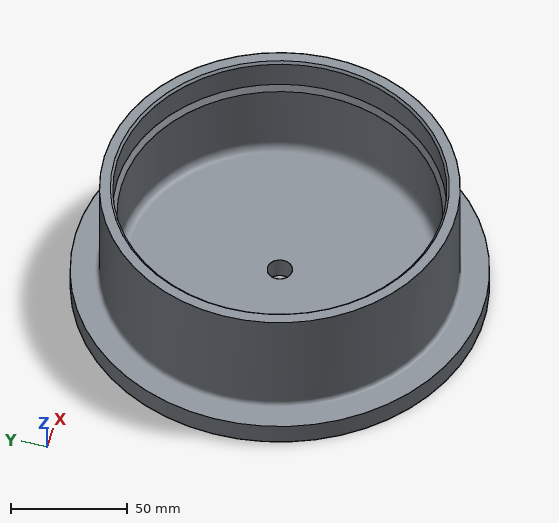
import cadquery as cq

flange_diameter = 180.0
total_height = 63.0
flange_thickness = 10.0

wall_diameter = 154.8
bore_diameter = 139.7
floor_thickness = 10.0
outer_fillet = 2.0
inner_fillet = 4.0

seat_diameter = 143.3
seat_depth = 14.0
shoulder_height = 2.7
rim_chamfer = 1.0

center_hole_diameter = 10.8

flange_radius = flange_diameter / 2
wall_radius = wall_diameter / 2
bore_radius = bore_diameter / 2
seat_radius = seat_diameter / 2
shoulder_top = total_height - seat_depth
shoulder_bottom = shoulder_top - shoulder_height


def make_body():
    """Flange and cylindrical wall, blended where they meet."""
    flange = cq.Workplane("XY").circle(flange_radius).extrude(flange_thickness)
    body = flange.union(cq.Workplane("XY").circle(wall_radius).extrude(total_height))
    root_edge = cq.selectors.RadiusNthSelector(0)
    return body.faces("<Z[-2]").edges(root_edge).fillet(outer_fillet)


def make_cavity():
    """Revolved stepped cavity with a rounded floor corner and a chamfered mouth."""
    profile = (
        cq.Workplane("XZ")
        .moveTo(0, floor_thickness)
        .lineTo(bore_radius - inner_fillet, floor_thickness)
        .radiusArc((bore_radius, floor_thickness + inner_fillet), -inner_fillet)
        .lineTo(bore_radius, shoulder_bottom)
        .lineTo(seat_radius, shoulder_top)
        .lineTo(seat_radius, total_height - rim_chamfer)
        .lineTo(seat_radius + rim_chamfer, total_height)
        .lineTo(0, total_height)
        .close()
    )
    return profile.revolve(360, (0, 0, 0), (0, 1, 0))


def make_center_hole():
    """Through hole in the floor."""
    return cq.Workplane("XY").circle(center_hole_diameter / 2).extrude(total_height)


result = make_body().cut(make_cavity()).cut(make_center_hole())